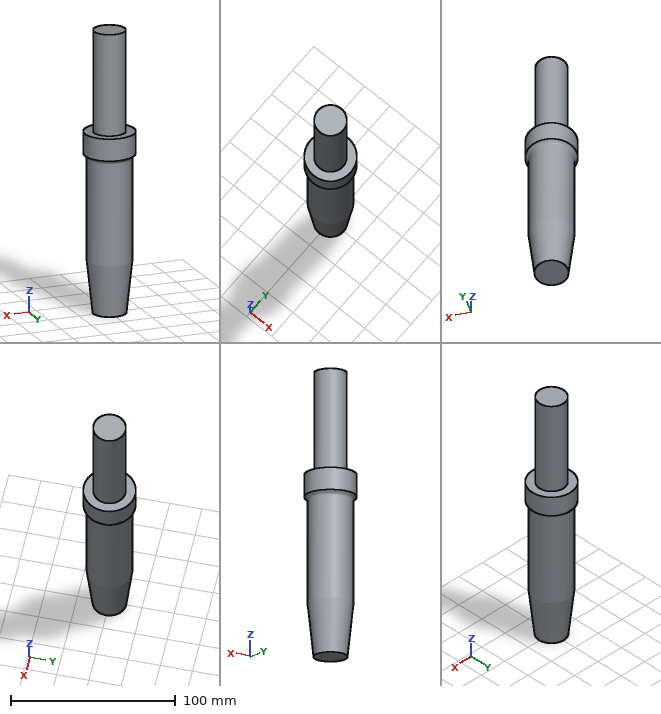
import cadquery as cq
import math

total_length = 180.0
taper_length = 33.5
collar_bottom = 101.3
collar_top = 115.4

tip_diameter = 20.9
body_diameter = 28.0
collar_diameter = 32.0
shank_diameter = 20.0

chamfer_angle = math.radians(45)
blend_radius = 1.8

tip_radius = tip_diameter / 2
body_radius = body_diameter / 2
collar_radius = collar_diameter / 2
shank_radius = shank_diameter / 2

blend_width = blend_radius * (1 - math.cos(chamfer_angle))
blend_height = blend_radius * math.sin(chamfer_angle)
chamfer_width = collar_radius - body_radius - blend_width
chamfer_height = chamfer_width * math.tan(chamfer_angle)
chamfer_bottom = collar_bottom - chamfer_height
blend_bottom = chamfer_bottom - blend_height

half_profile = (
    cq.Workplane("XZ")
    .lineTo(tip_radius, 0)
    .lineTo(body_radius, taper_length)
    .lineTo(body_radius, blend_bottom)
    .tangentArcPoint((collar_radius - chamfer_width, chamfer_bottom), relative=False)
    .lineTo(collar_radius, collar_bottom)
    .lineTo(collar_radius, collar_top)
    .lineTo(shank_radius, collar_top)
    .lineTo(shank_radius, total_length)
    .lineTo(0, total_length)
    .close()
)

result = half_profile.revolve(360, (0, 0), (0, 1))